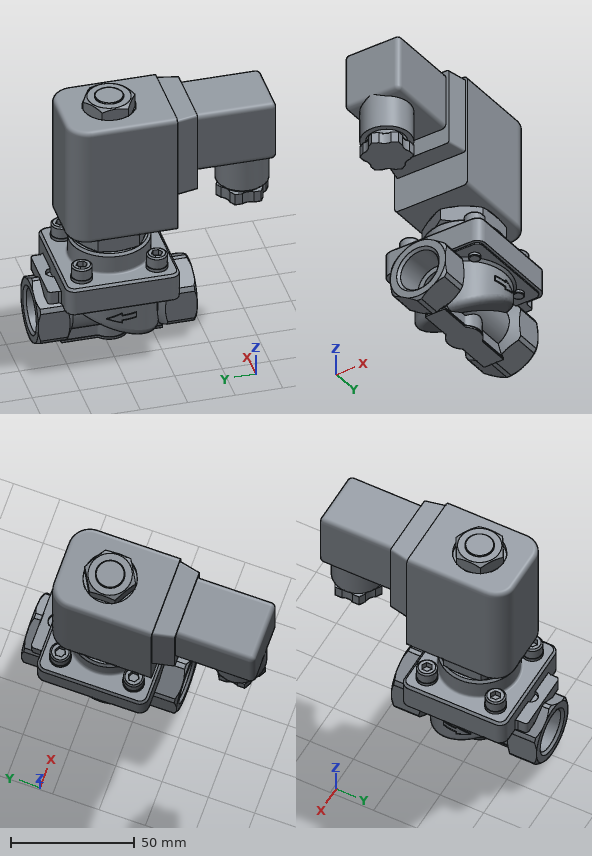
import cadquery as cq
import math


total_height = 114.7
port_axis_z = 14.97
gasket_bottom = 25.5
cover_bottom = 26.2
cover_top = 38.2
collar_top = 47.7
coil_bottom = 55.6
coil_top = 109.7

port_half_length = 33.5
port_hex_flats = 27.0
port_corner_radius = 14.97
port_end_radius = 13.59
port_end_chamfer = 1.0
port_hex_inner_y = 21.0
neck_start_y = 17.9
neck_radius = 10.0
thread_diameter = 18.6
thread_mouth_diameter = 20.9
thread_depth = 13.8
bore_diameter = 13.5
seat_radius = 7.2
seat_floor_z = 10.8

bowl_radius = 20.1
bowl_flare = 1.1
bowl_edge_fillet = 2.8
slope_angle = 27.0
slope_centre_z = 10.3
foot_radius = 7.3
rib_half_width = 4.5
foot_flare = 0.3
foot_flare_height = 1.0
foot_fillet = 1.0
gasket_side = 45.2
gasket_corner = 2.9
arrow_half_length = 6.3
arrow_head_half_width = 2.3
arrow_shaft_half_width = 1.1
arrow_z = 18.6
arrow_relief = 0.5

cover_side = 48.0
cover_corner = 4.0
cover_chamfer = 1.0
lug_half_width = 13.9
lug_end_y = 29.4
lug_top = 31.9
lug_corner = 1.5
lug_flare = 0.6
lug_hole_diameter = 6.2
lug_hole_y = 23.5
lug_hole_depth = 1.7
screw_pitch = 31.7
screw_head_diameter = 8.5
screw_head_top = 44.8
screw_head_chamfer = 0.7
washer_diameter = 9.0
washer_top = 39.6
socket_flats = 4.0
socket_depth = 2.5
screw_tip_diameter = 5.0
screw_tip_z = 24.0
screw_tip_chamfer = 0.3

collar_diameter = 34.0
collar_chamfer = 1.0
collar_fillet = 1.0
tube_nut_flats = 29.9
tube_nut_end_diameter = 29.2
tube_nut_chamfer = 1.4
top_nut_flats = 19.0
top_nut_seat_diameter = 22.0
top_nut_seat_depth = 2.3
top_nut_top = 114.2
top_nut_end_diameter = 18.0
top_nut_chamfer = 1.3
cap_diameter = 12.0
cap_chamfer = 0.3

coil_half_width = 18.0
coil_back_y = 21.0
coil_front_y = -24.1
coil_corner = 9.0
coil_edge_fillet = 2.1

adapter_front_y = -33.1
adapter_half_width_back = 17.0
adapter_half_width_front = 15.0
adapter_bottom = 72.1
adapter_top = 108.5
adapter_fillet = 1.0
plug_front_y = -67.0
plug_half_width = 13.5
plug_bottom = 80.1
plug_top = 107.1
plug_fillet = 2.2
gland_diameter = 22.0
gland_bottom = 65.1
gland_root_z = 86.0
gland_neck_diameter = 17.2
gland_nut_flats = 19.0
gland_nut_top = 63.0
gland_nut_bottom = 57.9
gland_scoop_width = 4.9
gland_scoop_depth = 0.7


def cylinder(diameter, bottom, top, x=0.0, y=0.0):
    """Vertical cylinder between two heights."""
    return cq.Workplane("XY", origin=(x, y, bottom)).circle(diameter / 2).extrude(top - bottom)


def hexagon(flats, bottom, top):
    """Hexagonal prism about Z with two corners on the Y axis."""
    corner_diameter = flats / math.cos(math.pi / 6)
    prism = cq.Workplane("XY").polygon(6, corner_diameter).extrude(top - bottom)
    return prism.rotate((0, 0, 0), (0, 0, 1), 30).translate((0, 0, bottom))


def turned(profile):
    """Solid of revolution about Z from (radius, z) points."""
    return cq.Workplane("XZ").polyline(profile).close().revolve(360, (0, 0, 0), (0, 1, 0))


def below_slope(height_at_axis):
    """Large wedge-like block below a plane that falls towards -Y."""
    size = 4 * bowl_radius
    block = cq.Workplane("XY").box(size, size, size, centered=(True, True, False))
    block = block.translate((0, 0, -size)).rotate((0, 0, 0), (1, 0, 0), slope_angle)
    return block.translate((0, 0, height_at_axis))


def along_port(solid, side):
    """Lay a solid built along +Z onto the port axis, towards side * Y."""
    laid = solid.rotate((0, 0, 0), (1, 0, 0), -90 * side)
    return laid.translate((0, 0, port_axis_z))


def make_port():
    """Hexagonal connection, turned at both ends and tapering into the neck; built along +Z."""
    envelope = turned([
        (0, 0),
        (neck_radius, 0),
        (neck_radius, neck_start_y),
        (port_corner_radius, port_hex_inner_y),
        (port_corner_radius, port_half_length - port_end_chamfer),
        (port_end_radius, port_half_length),
        (0, port_half_length),
    ])
    return envelope.intersect(hexagon(port_hex_flats, 0, port_half_length))


def make_port_bore():
    """Thread bore with a chamfered mouth, then the smaller flow bore; built along +Z."""
    mouth_depth = (thread_mouth_diameter - thread_diameter) / 2
    thread_end = port_half_length - thread_depth
    return turned([
        (0, 0),
        (bore_diameter / 2, 0),
        (bore_diameter / 2, thread_end),
        (thread_diameter / 2, thread_end),
        (thread_diameter / 2, port_half_length - mouth_depth),
        (thread_mouth_diameter / 2, port_half_length),
        (0, port_half_length),
    ])


def make_bowl():
    """Upright round bowl, cut off below by a sloping plane with a rounded edge."""
    bowl = cylinder(2 * bowl_radius, -bowl_radius, gasket_bottom).cut(below_slope(slope_centre_z))
    bowl = bowl.faces("<Z").edges().fillet(bowl_edge_fillet)
    flare = turned([
        (0, gasket_bottom - bowl_flare),
        (bowl_radius, gasket_bottom - bowl_flare),
        (bowl_radius + bowl_flare, gasket_bottom),
        (0, gasket_bottom),
    ])
    return bowl.union(flare)


def make_foot():
    """Round foot with a rib along the ports, slightly wider at the base."""
    rib_length = 2 * port_hex_inner_y
    foot = cylinder(2 * foot_radius, 0, port_axis_z)
    rib = cq.Workplane("XY").box(2 * rib_half_width, rib_length, port_axis_z, centered=(True, True, False))
    foot = foot.union(rib)
    inner_corners = cq.selectors.BoxSelector(
        (-rib_half_width - foot_flare, -foot_radius, -1.1),
        (rib_half_width + foot_flare, foot_radius, port_axis_z + 1.1),
    )
    foot = foot.edges("|Z").edges(inner_corners).fillet(foot_fillet)
    base = foot.faces("<Z").wires().toPending().offset2D(foot_flare).extrude(foot_flare_height)
    return foot.union(base)


def make_arrow(side):
    """Raised flow arrow pointing to +Y on one flank of the bowl."""
    outline = [
        (arrow_half_length, 0),
        (0, arrow_head_half_width),
        (0, arrow_shaft_half_width),
        (-arrow_half_length, arrow_shaft_half_width),
        (-arrow_half_length, -arrow_shaft_half_width),
        (0, -arrow_shaft_half_width),
        (0, -arrow_head_half_width),
    ]
    arrow = cq.Workplane("YZ", origin=(0, 0, arrow_z)).polyline(outline).close()
    arrow = arrow.extrude(side * 2 * bowl_radius)
    return arrow.intersect(cylinder(2 * (bowl_radius + arrow_relief), 0, cover_bottom))


def make_body():
    """Cast valve body with ports, bowl, foot, arrows and the flow passages."""
    body = make_bowl().union(make_foot())
    for side in (-1, 1):
        body = body.union(along_port(make_port(), side))
        body = body.union(make_arrow(side))
    gasket = cq.Workplane("XY", origin=(0, 0, gasket_bottom)).rect(gasket_side, gasket_side)
    gasket = gasket.extrude(cover_bottom - gasket_bottom).edges("|Z").fillet(gasket_corner)
    body = body.union(gasket)
    seat = cylinder(2 * seat_radius, 0, cover_bottom)
    floor_at_axis = seat_floor_z + seat_radius * math.tan(math.radians(slope_angle))
    inlet = along_port(make_port_bore(), -1).cut(seat)
    inlet_floor = below_slope(floor_at_axis).intersect(cylinder(2 * bowl_radius, 0, cover_bottom))
    outlet = along_port(make_port_bore(), 1).cut(seat)
    return body.cut(inlet.cut(inlet_floor)).cut(outlet)


def make_lug():
    """Lug on the +Y side of the cover with a blind hole from above."""
    cover_edge = cover_side / 2
    root_y = cover_edge - cover_corner
    outline = [
        (-lug_half_width - lug_flare, root_y),
        (-lug_half_width - lug_flare, cover_edge),
        (-lug_half_width, cover_edge + 2 * lug_flare),
        (-lug_half_width, lug_end_y),
        (lug_half_width, lug_end_y),
        (lug_half_width, cover_edge + 2 * lug_flare),
        (lug_half_width + lug_flare, cover_edge),
        (lug_half_width + lug_flare, root_y),
    ]
    lug = cq.Workplane("XY", origin=(0, 0, cover_bottom)).polyline(outline).close()
    lug = lug.extrude(lug_top - cover_bottom)
    lug = lug.faces(">Y").edges("|Z").fillet(lug_corner)
    return lug.cut(cylinder(lug_hole_diameter, lug_top - lug_hole_depth, lug_top, y=lug_hole_y))


def make_cover():
    """Square cover plate with its lug and the collar that carries the tube nut."""
    cover = cq.Workplane("XY", origin=(0, 0, cover_bottom)).rect(cover_side, cover_side)
    cover = cover.extrude(cover_top - cover_bottom).edges("|Z").fillet(cover_corner)
    cover = cover.faces(">Z").edges().chamfer(cover_chamfer)
    collar_radius = collar_diameter / 2
    collar = (
        cq.Workplane("XZ")
        .moveTo(0, cover_top)
        .lineTo(collar_radius + collar_fillet, cover_top)
        .radiusArc((collar_radius, cover_top + collar_fillet), collar_fillet)
        .lineTo(collar_radius, collar_top - collar_chamfer)
        .lineTo(collar_radius - collar_chamfer, collar_top)
        .lineTo(0, collar_top)
        .close()
        .revolve(360, (0, 0, 0), (0, 1, 0))
    )
    return cover.union(collar).union(make_lug())


def make_screw(x, y):
    """Socket head screw with a washer; its tip shows below the cover."""
    head = cylinder(screw_head_diameter, cover_top, screw_head_top)
    head = head.faces(">Z").edges().chamfer(screw_head_chamfer)
    head = head.union(cylinder(washer_diameter, cover_top, washer_top))
    head = head.cut(hexagon(socket_flats, screw_head_top - socket_depth, screw_head_top))
    tip = cylinder(screw_tip_diameter, screw_tip_z, cover_bottom)
    tip = tip.faces("<Z").edges().chamfer(screw_tip_chamfer)
    shank = cylinder(screw_tip_diameter, cover_bottom, cover_top)
    return head.union(shank).union(tip).translate((x, y, 0))


def make_tube_nut():
    """Large hexagon nut under the coil, turned at both ends."""
    end_radius = tube_nut_end_diameter / 2
    corner_radius = tube_nut_flats / 2 / math.cos(math.pi / 6)
    envelope = turned([
        (0, collar_top),
        (end_radius, collar_top),
        (corner_radius, collar_top + tube_nut_chamfer),
        (corner_radius, coil_bottom - tube_nut_chamfer),
        (end_radius, coil_bottom),
        (0, coil_bottom),
    ])
    return envelope.intersect(hexagon(tube_nut_flats, collar_top, coil_bottom))


def make_top_nut():
    """Hexagon nut on top of the coil with the end of the tube showing through it."""
    bottom = coil_top - top_nut_seat_depth
    corner_radius = top_nut_flats / 2 / math.cos(math.pi / 6)
    envelope = turned([
        (0, bottom),
        (corner_radius, bottom),
        (corner_radius, top_nut_top - top_nut_chamfer),
        (top_nut_end_diameter / 2, top_nut_top),
        (0, top_nut_top),
    ])
    cap = cylinder(cap_diameter, bottom, total_height).faces(">Z").edges().chamfer(cap_chamfer)
    return envelope.intersect(hexagon(top_nut_flats, bottom, top_nut_top)).union(cap)


def make_coil():
    """Coil housing, rounded at the back and flat at the plug side, with the nut recess."""
    coil = cq.Workplane("XY").box(
        2 * coil_half_width,
        coil_back_y - coil_front_y,
        coil_top - coil_bottom,
        centered=(True, False, False),
    ).translate((0, coil_front_y, coil_bottom))
    coil = coil.edges("|Z and >Y").fillet(coil_corner)
    straight_edges = coil.faces("<Z or >Z").edges("not(<Y)")
    coil = straight_edges.fillet(coil_edge_fillet)
    return coil.cut(cylinder(top_nut_seat_diameter, coil_top - top_nut_seat_depth, coil_top))


def make_adapter():
    """Tapered adapter between the coil and the plug."""
    outline = [
        (-adapter_half_width_back, coil_front_y),
        (-adapter_half_width_front, adapter_front_y),
        (adapter_half_width_front, adapter_front_y),
        (adapter_half_width_back, coil_front_y),
    ]
    adapter = cq.Workplane("XY", origin=(0, 0, adapter_bottom)).polyline(outline).close()
    adapter = adapter.extrude(adapter_top - adapter_bottom)
    return adapter.faces("<Z or >Z").edges("not(#Y)").edges("not(|X)").fillet(adapter_fillet)


def make_gland_nut():
    """Hexagonal gland nut with a shallow finger scoop in each side."""
    nut = hexagon(gland_nut_flats, gland_nut_bottom, gland_nut_top)
    scoop_radius = (gland_scoop_width ** 2 / 4 + gland_scoop_depth ** 2) / (2 * gland_scoop_depth)
    scoop_distance = gland_nut_flats / 2 - gland_scoop_depth + scoop_radius
    scoop = cylinder(2 * scoop_radius, gland_nut_bottom, gland_nut_top, x=scoop_distance)
    for side in range(6):
        nut = nut.cut(scoop.rotate((0, 0, 0), (0, 0, 1), 60 * side))
    return nut


def make_plug():
    """Plug housing with the cable gland hanging below its front end."""
    plug = cq.Workplane("XY").box(
        2 * plug_half_width,
        adapter_front_y - plug_front_y,
        plug_top - plug_bottom,
        centered=(True, False, False),
    ).translate((0, plug_front_y, plug_bottom))
    plug = plug.edges("|Y or <Y").fillet(plug_fillet)
    gland_y = plug_front_y + gland_diameter / 2
    gland = cylinder(gland_diameter, gland_bottom, gland_root_z)
    gland = gland.union(cylinder(gland_neck_diameter, gland_nut_top, gland_bottom))
    gland = gland.union(make_gland_nut())
    return plug.union(gland.translate((0, gland_y, 0)))


result = make_body().union(make_cover())
for screw_x in (-screw_pitch / 2, screw_pitch / 2):
    for screw_y in (-screw_pitch / 2, screw_pitch / 2):
        result = result.union(make_screw(screw_x, screw_y))
for section in (make_tube_nut(), make_coil(), make_top_nut(), make_adapter(), make_plug()):
    result = result.union(section)